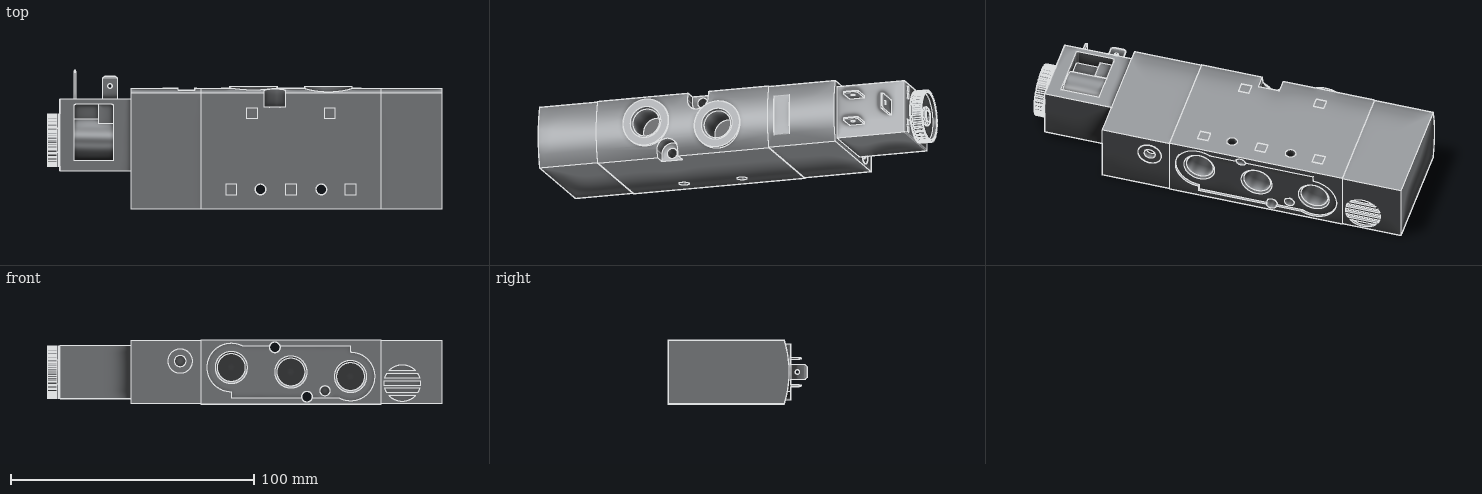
import cadquery as cq
import math


overall_length = 162.15
valve_length = 74.0
valve_height = 26.5
end_height = 26.0
cap_length = 25.1
pilot_length = 28.75
body_depth = 49.7
dome_drop = 2.0

coil_length = 29.3
coil_height = 22.0
coil_front = 15.6
coil_rear = 45.3
axis_y = 28.3

valve_left = -valve_length / 2
valve_right = valve_length / 2
pilot_left = valve_left - pilot_length
coil_left = pilot_left - coil_length
knob_left = valve_right + cap_length - overall_length

port_bore = 11.45
port_mouth = 13.2
port_depth = 15.0
front_port_spacing = 24.5
front_port_shift = 1.85
rear_port_offset = 15.4
rear_port_shift = 1.75
pad_diameter = 19.6
gasket_lobe_diameter = 20.0
pad_face_y = 50.4
gasket_recess_height = 21.2
gasket_recess_depth = 1.0

mount_hole = 4.3
side_mount_x = 6.6
side_mount_z = 10.15
screw_seat_width = 8.9
screw_seat_y = 41.9
top_mount_x = 12.5
top_mount_y = 8.1
locating_hole = 4.13
locating_hole_x = 14.0
locating_hole_z = -7.7
locating_hole_depth = 4.0

label_size = 4.4
label_depth = 0.2
label_rear_x = 16.0
label_rear_y = 39.4

grille_diameter = 15.0
grille_x = valve_right + 8.75
grille_z = -4.55
grille_pitch = 3.0
grille_slot = 1.8
grille_slots = 5
grille_depth = 1.0

override_x = pilot_left + 20.25
override_z = 4.5
override_ring = 10.0
override_step = 0.2
override_bore = 4.7
override_depth = 3.0
cover_screw_y = 8.2
cover_screw_z = -7.75
cover_screw_head = 8.0
cover_screw_step = 0.2
torx_diameter = 4.0
torx_lobe = 1.2
torx_lobes = 6
torx_depth = 2.0
rear_notch_left = pilot_left + 19.35
rear_notch_right = rear_notch_left + 6.8
rear_notch_y = 48.9

seat_diameter = 21.6
seat_thickness = 0.45
coil_edge_radius = 0.4
window_corner_radius = 0.7
window_left = coil_left + 5.85
window_right = window_left + 16.3
window_front = 19.9
window_rear = 43.1
winding_diameter = 19.5
low_block_front = 37.0
low_block_z = 4.4
high_block_left = window_right - 6.2
high_block_front = 35.1
high_block_z = 7.2
slot_y = 40.8
slot_width = 1.5
slot_inner_z = 4.5
slot_outer_z = 9.7
slot_depth = 1.5
slot_bar_z = 7.1
slot_bar_height = 0.8

knob_diameter = 21.6
knob_thickness = 4.0
knob_recess_diameter = 19.5
knob_recess_depth = 1.6
knob_neck_diameter = 10.0
knob_teeth = 36
tooth_gap_width = 0.8
tooth_gap_depth = 0.5
tube_diameter = 7.9
tube_end_chamfer = 0.5
tube_proud = 1.1
tube_socket_diameter = 4.7
tube_socket_depth = 2.5
tube_hole_diameter = 2.5
tube_hole_depth = 3.0

blade_width = 6.3
blade_thickness = 0.9
blade_hole = 1.75
blade_chamfer = 1.0
blade_bevel = 0.25
blade_bevel_length = 1.0
earth_blade_x = coil_left + 6.3
earth_blade_tip = 57.2
earth_blade_hole_y = 53.1
power_blade_x = coil_left + 20.7
power_blade_z = 5.6
power_blade_tip = 54.7
power_blade_hole_y = 50.6


def block(x0, x1, y0, y1, z0, z1):
    """Box between two opposite corners."""
    return cq.Workplane("XY").box(x1 - x0, y1 - y0, z1 - z0, centered=False).translate((x0, y0, z0))


def rod_x(diameter, x0, x1, y, z):
    """Cylinder along X."""
    return cq.Workplane("YZ", origin=(x0, y, z)).circle(diameter / 2).extrude(x1 - x0)


def rod_y(diameter, y0, y1, x, z):
    """Cylinder along Y."""
    return cq.Workplane("XZ", origin=(x, y0, z)).circle(diameter / 2).extrude(y0 - y1)


def domed_block(x0, x1, height):
    """Box section with a gently domed rear face, extruded along X."""
    half = height / 2
    edge_y = body_depth - dome_drop
    return (
        cq.Workplane("YZ", origin=(x0, 0, 0))
        .moveTo(0, -half)
        .lineTo(edge_y, -half)
        .threePointArc((body_depth, 0), (edge_y, half))
        .lineTo(0, half)
        .close()
        .extrude(x1 - x0)
    )


def port_cutter(x, z, face_y, inward):
    """Blind port bore with a chamfered mouth; inward is +1 or -1 along Y."""
    chamfer = (port_mouth - port_bore) / 2
    profile = [
        (0, 0), (port_mouth / 2, 0), (port_bore / 2, chamfer),
        (port_bore / 2, port_depth), (0, port_depth),
    ]
    cutter = cq.Workplane("XY").polyline(profile).close().revolve(360, (0, 0, 0), (0, 1, 0))
    if inward < 0:
        cutter = cutter.mirror("XZ")
    return cutter.translate((x, face_y, z))


def make_valve():
    valve = domed_block(valve_left, valve_right, valve_height)
    front_ports = [(side * front_port_spacing, -side * front_port_shift) for side in (-1, 0, 1)]
    rear_ports = [(side * rear_port_offset, side * rear_port_shift) for side in (-1, 1)]

    recess = block(
        -front_port_spacing, front_port_spacing, 0, gasket_recess_depth,
        -gasket_recess_height / 2, gasket_recess_height / 2,
    )
    for x, z in (front_ports[0], front_ports[-1]):
        recess = recess.union(rod_y(gasket_lobe_diameter, 0, gasket_recess_depth, x, z))
    valve = valve.cut(recess)

    for x, z in front_ports:
        valve = valve.cut(port_cutter(x, z, gasket_recess_depth, 1))

    for x, z in rear_ports:
        valve = valve.union(rod_y(pad_diameter, body_depth - 2 * dome_drop, pad_face_y, x, z))
        valve = valve.cut(port_cutter(x, z, pad_face_y, -1))

    for side in (-1, 1):
        x = side * side_mount_x
        z = -side * side_mount_z
        edge_z = -side * valve_height / 2
        valve = valve.cut(rod_y(mount_hole, 0, pad_face_y, x, z))
        seat = rod_y(screw_seat_width, screw_seat_y, pad_face_y, x, z)
        mouth = block(
            x - screw_seat_width / 2, x + screw_seat_width / 2, screw_seat_y, pad_face_y,
            min(z, edge_z), max(z, edge_z),
        )
        valve = valve.cut(seat.union(mouth))

    for x in (-top_mount_x, top_mount_x):
        hole = cq.Workplane("XY", origin=(x, top_mount_y, -valve_height / 2))
        valve = valve.cut(hole.circle(mount_hole / 2).extrude(valve_height))

    locating_end = gasket_recess_depth + locating_hole_depth
    valve = valve.cut(rod_y(locating_hole, 0, locating_end, locating_hole_x, locating_hole_z))

    labels = [(x, top_mount_y) for x in (-front_port_spacing, 0, front_port_spacing)]
    labels += [(x, label_rear_y) for x in (-label_rear_x, label_rear_x)]
    fields = cq.Workplane("XY", origin=(0, 0, valve_height / 2 - label_depth)).pushPoints(labels)
    return valve.cut(fields.rect(label_size, label_size).extrude(label_depth))


def make_cap():
    cap = domed_block(valve_right, valve_right + cap_length, end_height)
    disc = rod_y(grille_diameter, 0, grille_depth, grille_x, grille_z)
    for i in range(grille_slots):
        z = grille_z + (i - (grille_slots - 1) / 2) * grille_pitch
        low = z - grille_slot / 2 if i > 0 else z - grille_pitch
        high = z + grille_slot / 2 if i < grille_slots - 1 else z + grille_pitch
        slot = block(
            grille_x - grille_diameter / 2, grille_x + grille_diameter / 2, 0, grille_depth, low, high,
        )
        cap = cap.cut(slot.intersect(disc))
    return cap


def make_pilot():
    pilot = domed_block(pilot_left, valve_left, end_height)
    pilot = pilot.cut(
        block(rear_notch_left, rear_notch_right, rear_notch_y, body_depth, -end_height / 2, end_height / 2)
    )

    pilot = pilot.cut(rod_y(override_ring, 0, override_step, override_x, override_z))
    pilot = pilot.cut(rod_y(override_bore, 0, override_depth, override_x, override_z))

    head_x = pilot_left + cover_screw_step
    socket_end = head_x + torx_depth
    lobe_radius = (torx_diameter - torx_lobe) / 2
    pilot = pilot.cut(rod_x(cover_screw_head, pilot_left, head_x, cover_screw_y, cover_screw_z))
    pilot = pilot.cut(rod_x(2 * lobe_radius, head_x, socket_end, cover_screw_y, cover_screw_z))
    for i in range(torx_lobes):
        angle = 2 * math.pi * i / torx_lobes
        lobe_y = cover_screw_y + lobe_radius * math.sin(angle)
        lobe_z = cover_screw_z + lobe_radius * math.cos(angle)
        pilot = pilot.cut(rod_x(torx_lobe, head_x, socket_end, lobe_y, lobe_z))
    return pilot


def make_coil():
    top = coil_height / 2
    coil = block(coil_left, pilot_left, coil_front, coil_rear, -top, top)
    coil = coil.faces("<X").edges().fillet(coil_edge_radius)
    coil = coil.union(rod_x(seat_diameter, coil_left - seat_thickness, coil_left, axis_y, 0))

    window = block(window_left, window_right, window_front, window_rear, 0, top)
    window = window.edges("|Z and >Y").fillet(window_corner_radius)
    window = window.cut(rod_x(winding_diameter, window_left, window_right, axis_y, 0))
    window = window.cut(block(window_left, window_right, low_block_front, window_rear, 0, low_block_z))
    window = window.cut(block(high_block_left, window_right, high_block_front, window_rear, 0, high_block_z))
    coil = coil.cut(window)

    slot_y0 = slot_y - slot_width / 2
    slot_y1 = slot_y + slot_width / 2
    slot = block(coil_left, coil_left + slot_depth, slot_y0, slot_y1, slot_inner_z, slot_outer_z)
    slot = slot.cut(block(
        coil_left, coil_left + slot_depth, slot_y0, slot_y1,
        slot_bar_z - slot_bar_height / 2, slot_bar_z + slot_bar_height / 2,
    ))
    coil = coil.cut(slot).cut(slot.mirror("XY"))
    return coil.cut(rod_x(tube_diameter, coil_left - seat_thickness, pilot_left, axis_y, 0))


def make_knob():
    knob_right = knob_left + knob_thickness
    knob = rod_x(knob_diameter, knob_left, knob_right, axis_y, 0)
    knob = knob.union(rod_x(knob_neck_diameter, knob_right, coil_left - seat_thickness, axis_y, 0))
    knob = knob.cut(rod_x(knob_recess_diameter, knob_left, knob_left + knob_recess_depth, axis_y, 0))
    knob = knob.cut(rod_x(tube_diameter, knob_left, coil_left, axis_y, 0))
    gaps = (
        cq.Workplane("YZ", origin=(knob_left, axis_y, 0))
        .polarArray(knob_diameter / 2, 0, 360, knob_teeth)
        .rect(2 * tooth_gap_depth, tooth_gap_width)
        .extrude(knob_thickness)
    )
    return knob.cut(gaps)


def make_tube():
    tube_left = knob_left + knob_recess_depth - tube_proud
    socket_end = tube_left + tube_socket_depth
    tube = rod_x(tube_diameter, tube_left, pilot_left, axis_y, 0)
    tube = tube.faces("<X").edges().chamfer(tube_end_chamfer)
    tube = tube.cut(rod_x(tube_socket_diameter, tube_left, socket_end, axis_y, 0))
    return tube.cut(rod_x(tube_hole_diameter, socket_end, socket_end + tube_hole_depth, axis_y, 0))


def make_blade(tip_y, hole_y):
    """Flat blade in the XY plane, centred on X = 0 and Z = 0, rising from the rear of the coil."""
    blade = block(
        -blade_width / 2, blade_width / 2, coil_rear, tip_y, -blade_thickness / 2, blade_thickness / 2,
    )
    blade = blade.edges("|Z and >Y").chamfer(blade_chamfer)
    half = blade_thickness / 2
    bevel_y = tip_y - blade_bevel_length
    side_profile = [
        (coil_rear, -half), (bevel_y, -half), (tip_y, blade_bevel - half),
        (tip_y, half - blade_bevel), (bevel_y, half), (coil_rear, half),
    ]
    bevelled = cq.Workplane("YZ").polyline(side_profile).close().extrude(blade_width / 2, both=True)
    blade = blade.intersect(bevelled)
    hole = cq.Workplane("XY", origin=(0, hole_y, -blade_thickness / 2))
    return blade.cut(hole.circle(blade_hole / 2).extrude(blade_thickness))


valve = make_valve()
cap = make_cap()
pilot = make_pilot()
coil = make_coil()
knob = make_knob()
tube = make_tube()

earth_blade = make_blade(earth_blade_tip, earth_blade_hole_y)
earth_blade = earth_blade.rotate((0, 0, 0), (0, 1, 0), 90).translate((earth_blade_x, 0, 0))
power_blades = [
    make_blade(power_blade_tip, power_blade_hole_y).translate((power_blade_x, 0, side * power_blade_z))
    for side in (-1, 1)
]

result = cq.Compound.makeCompound(
    [valve.val(), cap.val(), pilot.val(), coil.val(), knob.val(), tube.val(), earth_blade.val()]
    + [blade.val() for blade in power_blades]
)